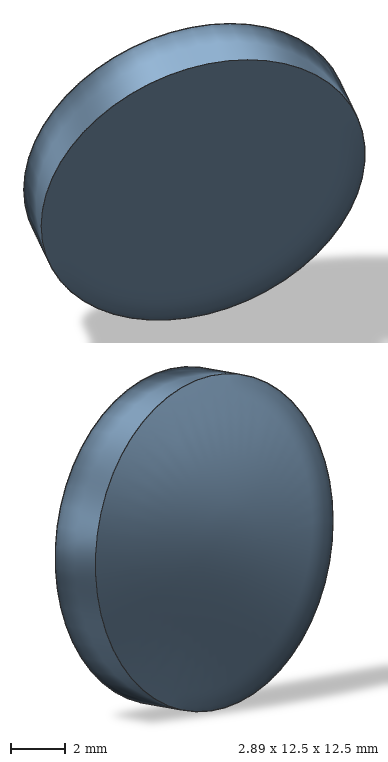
import cadquery as cq

diameter = 12.5
centre_thickness = 2.89
edge_thickness = 2.06

radius = diameter / 2
sag = centre_thickness - edge_thickness
sphere_radius = (radius**2 + sag**2) / (2 * sag)

apex_x = -centre_thickness
rim_x = -edge_thickness

mid_radius = radius / 2
mid_x = apex_x + sphere_radius - (sphere_radius**2 - mid_radius**2) ** 0.5

half_section = (
    cq.Workplane("XY")
    .moveTo(0, 0)
    .lineTo(apex_x, 0)
    .threePointArc((mid_x, -mid_radius), (rim_x, -radius))
    .lineTo(0, -radius)
    .close()
)

result = half_section.revolve(360, (0, 0, 0), (1, 0, 0))